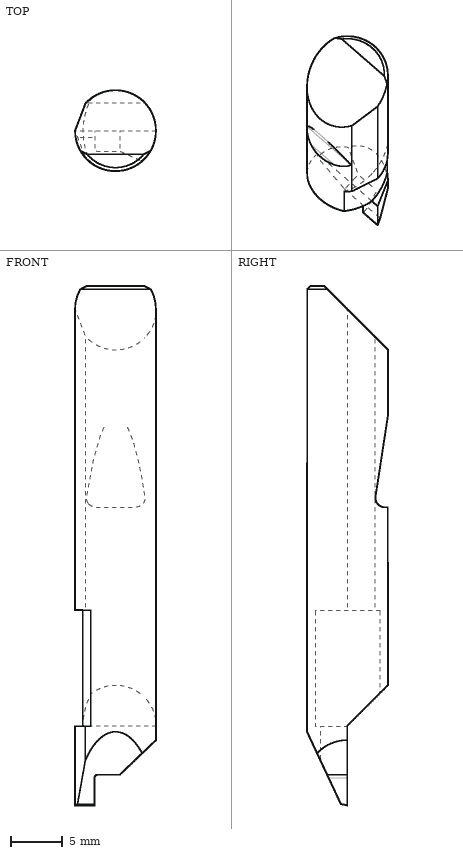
import cadquery as cq
import math

length = 50.8
radius = 3.95
edge_chamfer = 0.35
margin = 1
reach = radius + margin

top_flat_back = -2.3

flat_back = 2.65

notch_bottom = 29.15
notch_top = 38.1
notch_depth = 1.35
notch_fillet = 0.9

pocket_bottom = 7.75
pocket_top = 19.1
pocket_floor_x = -3.2
pocket_half_width = 3.15

tip_back_height = 7.8
tip_thickness = 0.65
tip_end_relief = 0.15
tip_front_height = 7.2
tip_inner_x = -2.05
step_height = 3.0
step_end_x = 0.4
step_fillet = 0.25
slope_top = 6.4


def rim_distance(offset):
    """Distance from the axis plane to the shank surface at a sideways offset."""
    return math.sqrt(radius**2 - offset**2)


def side_cutter(points):
    """Prism through the full width along X, from (y, z) points."""
    return cq.Workplane("YZ").polyline(points).close().extrude(reach, both=True)


def make_shank():
    shank = cq.Workplane("XY").circle(radius).extrude(length)
    return shank.faces(">Z").chamfer(edge_chamfer)


def top_slope():
    """45 degree cut that falls from the top flat to the back."""
    return side_cutter([
        (top_flat_back, length),
        (top_flat_back, length + margin),
        (reach, length + margin),
        (reach, length - (reach - top_flat_back)),
    ])


def side_flat(y_end, height):
    """Prism that planes the left side from y = 0 to the rim at y_end."""
    points = [(-radius, 0), (-reach, 0), (-reach, y_end), (-rim_distance(y_end), y_end)]
    return cq.Workplane("XY").polyline(points).close().extrude(height)


def clamping_notch():
    """Square shoulder below, long ramp above, rounded at the bottom."""
    floor_y = radius - notch_depth
    ramp_rise = (notch_top - notch_bottom) * (reach - floor_y) / notch_depth
    notch = side_cutter([
        (floor_y, notch_bottom),
        (reach, notch_bottom),
        (reach, notch_bottom + ramp_rise),
    ])
    return notch.edges("<Y").fillet(notch_fillet)


def side_pocket():
    """Pocket whose floor is an arc bulging to the left, ending at the rim."""
    rim_x = -rim_distance(pocket_half_width)
    return (
        cq.Workplane("XY", origin=(0, 0, pocket_bottom))
        .moveTo(rim_x, -pocket_half_width)
        .threePointArc((pocket_floor_x, 0), (rim_x, pocket_half_width))
        .lineTo(-reach, pocket_half_width)
        .lineTo(-reach, -pocket_half_width)
        .close()
        .extrude(pocket_top - pocket_bottom)
    )


def tip_back():
    """Leaves the tip face at y = 0, with a 45 degree run-out above it."""
    return side_cutter([
        (0, -margin),
        (0, tip_back_height),
        (reach, tip_back_height + reach),
        (reach, -margin),
    ])


def tip_front():
    """Sloped clearance from the slightly relieved tip end up to the front of the shank."""
    slope = (tip_front_height - tip_end_relief) / (radius - tip_thickness)
    return side_cutter([
        (0, 0),
        (-tip_thickness, tip_end_relief),
        (-reach, tip_front_height + margin * slope),
        (-reach, -margin),
        (0, -margin),
    ])


def tip_step():
    """Removes the right side of the tip: wall, step and rising slope."""
    slope = (slope_top - step_height) / (radius - step_end_x)
    points = [
        (tip_inner_x, -margin),
        (tip_inner_x, step_height),
        (step_end_x, step_height),
        (reach, step_height + slope * (reach - step_end_x)),
        (reach, -margin),
    ]
    step = cq.Workplane("XZ").polyline(points).close().extrude(reach, both=True)
    inner_corner = cq.NearestToPointSelector((tip_inner_x, 0, step_height))
    return step.edges("|Y").edges(inner_corner).fillet(step_fillet)


result = (
    make_shank()
    .cut(top_slope())
    .cut(side_flat(flat_back, length))
    .cut(clamping_notch())
    .cut(side_pocket())
    .cut(side_flat(-flat_back, pocket_bottom))
    .cut(tip_back())
    .cut(tip_front())
    .cut(tip_step())
)